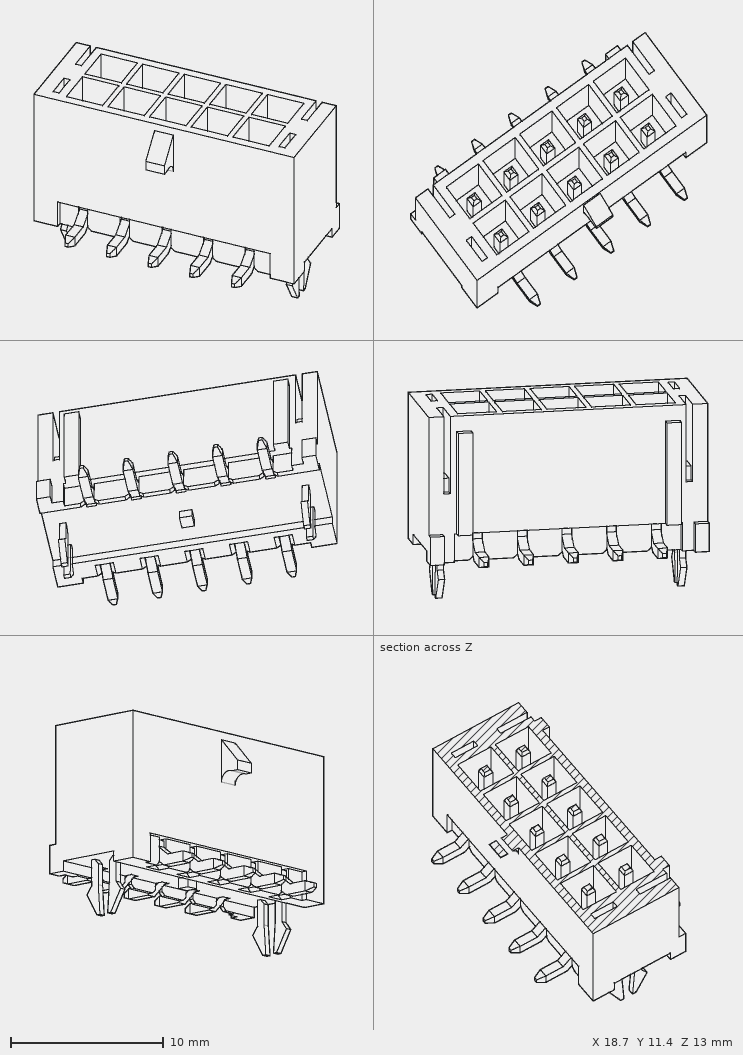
import cadquery as cq
import math

body_x = 18.7
body_y = 6.85
body_z = 9.91
front = -body_y / 2
back = body_y / 2

columns = 5
pitch = 3.0
column_xs = [(i - (columns - 1) / 2) * pitch for i in range(columns)]
row_y = pitch / 2

cavity_size = 2.62
cavity_floor = 2.43

tunnel_front = -1.72
tunnel_back = 2.73
tunnel_z = 0.7
recess_x = 15.28
recess_z = 1.93
recess_depth = 0.4
wall_y = body_y / 2 - recess_depth

wire_x = 0.65
wire_t = 0.7
tip_length = 0.6
tip_inset = 0.2
pin_top = 7.48
lead_end = 5.7
lead_top = 1.81
drop_outer = 2.85
drop_inner = drop_outer - wire_t
upper_bend_y = 3.74
upper_bend_z = 1.38
lower_bend_y = 3.4
lower_bend_z = 0.97
flare_x = 0.28
flare_z = 0.25

back_step = 0.52
foot_x = 0.94
rib_x = 0.97
rib_outer = 7.48
rib_top = 8.86

latch_x = 1.35
latch_reach = 1.42
latch_top = 9.37
latch_nose_top = 7.8
latch_nose_bottom = 7.15
latch_root = 6.53
latch_flat = 0.41
latch_arc_y = 0.22
latch_arc_z = 7.03
latch_hollow = 7.2
latch_hollow_reach = 0.73

clip_x = 8.12
clip_t = 0.43
clip_y = 0.07
clip_bottom = -3.09
leg_outer = 1.08
leg_inner = 0.49
leg_neck = 0.79
neck_z = 0.35
barb_reach = 1.5
barb_top = -1.07
barb_z = -1.6
clip_tip_inner = 0.34
clip_tip_outer = 0.62
slot_floor = 4.68
tab_top = 5.61
back_slot_start = 1.01
back_tab_start = 1.55
back_tab_end = 2.95
front_slot_start = -2.6
front_slot_end = -0.85
front_tab_end = -1.42

peg_size = 0.85
peg_y = 0.2


def box(x0, x1, y0, y1, z0, z1):
    return cq.Workplane("XY").box(x1 - x0, y1 - y0, z1 - z0, centered=False).translate((x0, y0, z0))


def x_prism(points, thickness, x_mid):
    """Extrude a (y, z) outline along X, centred on x_mid."""
    return cq.Workplane("YZ").polyline(points).close().extrude(thickness / 2, both=True).translate((x_mid, 0, 0))


def make_shell():
    half_x = body_x / 2
    shell = box(-half_x, half_x, front, back, 0, body_z)
    for side in (-1, 1):
        foot_mid = side * (half_x - foot_x / 2)
        shell = shell.union(box(foot_mid - foot_x / 2, foot_mid + foot_x / 2,
                                tunnel_back, back + back_step, 0, recess_z))
        rib_mid = side * (rib_outer - rib_x / 2)
        shell = shell.union(box(rib_mid - rib_x / 2, rib_mid + rib_x / 2,
                                wall_y, back + back_step, recess_z, rib_top))
    shell = shell.cut(box(-half_x, half_x, tunnel_front, tunnel_back, 0, tunnel_z))
    shell = shell.cut(box(-recess_x / 2, recess_x / 2, front, -wall_y, 0, recess_z))
    shell = shell.cut(box(-recess_x / 2, recess_x / 2, wall_y, back, 0, recess_z))
    return shell


def make_latch():
    profile = (
        cq.Workplane("YZ")
        .moveTo(front, latch_top)
        .lineTo(front - latch_reach, latch_nose_top)
        .lineTo(front - latch_reach, latch_nose_bottom)
        .lineTo(front - latch_reach + latch_flat, latch_nose_bottom)
        .lineTo(front - latch_hollow_reach, latch_hollow)
        .threePointArc((front - latch_arc_y, latch_arc_z), (front, latch_root))
        .close()
    )
    return profile.extrude(latch_x / 2, both=True)


def cavity(x):
    """Square cavity of the back row."""
    half = cavity_size / 2
    return box(x - half, x + half, row_y - half, row_y + half, cavity_floor, body_z)


def lead_slot(x):
    """Slot through the back recess wall, flared at the bottom."""
    half = wire_x / 2
    outline = [
        (x - half - flare_x, 0), (x - half, flare_z), (x - half, recess_z),
        (x + half, recess_z), (x + half, flare_z), (x + half + flare_x, 0),
    ]
    slot = cq.Workplane("XZ").polyline(outline).close().extrude(-(wall_y - drop_inner))
    return slot.translate((0, drop_inner, 0))


def tip():
    """Tapered wire end, growing along +Z from the origin."""
    taper = math.degrees(math.atan(tip_inset / tip_length))
    return cq.Workplane("XY").rect(wire_x, wire_t).extrude(tip_length, taper=taper)


def contact(x):
    """Contact of the back row: upright pin, step outward, drop and board lead."""
    pin_back = row_y + wire_t / 2
    pin_front = row_y - wire_t / 2
    lead_straight = lead_end - tip_length
    outline = [
        (pin_front, pin_top - tip_length), (pin_back, pin_top - tip_length), (pin_back, lead_top),
        (drop_outer, lead_top), (drop_outer, upper_bend_z), (upper_bend_y, wire_t),
        (lead_straight, wire_t), (lead_straight, 0), (lower_bend_y, 0),
        (drop_inner, lower_bend_z), (drop_inner, lead_top - wire_t), (pin_front, lead_top - wire_t),
    ]
    pin_tip = tip().translate((x, row_y, pin_top - tip_length))
    lead_tip = tip().rotate((0, 0, 0), (1, 0, 0), -90).translate((x, lead_straight, wire_t / 2))
    return x_prism(outline, wire_x, x).union(pin_tip).union(lead_tip)


def to_front(shape):
    """Mirror a back-row shape to the front row."""
    return shape.mirror("XZ")


def clip_leg(x, side):
    """One barbed clip leg; side is +1 for the back leg and -1 for the front leg."""
    outline = [
        (leg_outer, tunnel_z), (leg_outer, barb_top), (barb_reach, barb_z),
        (clip_tip_outer, clip_bottom), (clip_tip_inner, clip_bottom), (leg_inner, barb_top),
        (leg_inner, neck_z), (leg_neck, tunnel_z),
    ]
    return x_prism([(clip_y + side * y, z) for y, z in outline], clip_t, x)


shell = make_shell().union(make_latch())
shell = shell.union(box(-peg_size / 2, peg_size / 2, peg_y - peg_size / 2, peg_y + peg_size / 2, 0, tunnel_z))

for clip_mid in (-clip_x, clip_x):
    x0 = clip_mid - clip_t / 2
    x1 = clip_mid + clip_t / 2
    shell = shell.cut(box(x0, x1, back_slot_start, back, slot_floor, body_z))
    shell = shell.cut(box(x0, x1, front_slot_start, front_slot_end, slot_floor, body_z))
    shell = shell.union(box(x0, x1, back_tab_start, back_tab_end, slot_floor, tab_top))
    shell = shell.union(box(x0, x1, front_slot_start, front_tab_end, slot_floor, tab_top))
    for side in (-1, 1):
        shell = shell.union(clip_leg(clip_mid, side))

for column_x in column_xs:
    for cutter in (cavity(column_x), lead_slot(column_x)):
        shell = shell.cut(cutter).cut(to_front(cutter))
    wire = contact(column_x)
    shell = shell.union(wire).union(to_front(wire))

result = shell